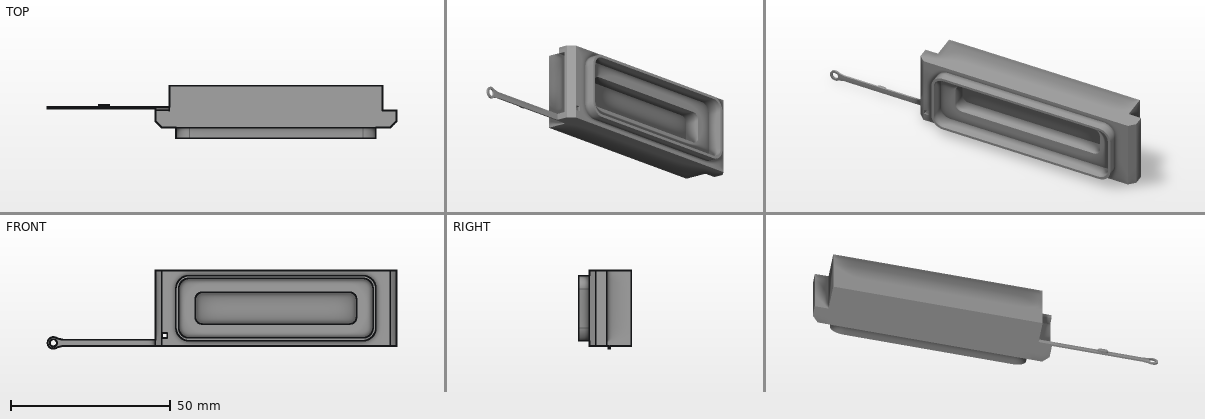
import cadquery as cq
import math

total_length = 109.5
total_depth = 16.5
total_height = 24.6

flange_length = 75.7
housing_height = 23.8
end_overhang = 4.4
flange_back = 7.8
flange_front = 13.1
flange_chamfer = 2.0
center_x = flange_length / 2
center_z = housing_height / 2

rim_length = 62.8
rim_height = 20.5
rim_radius = 4.2
rim_wall = 0.9
cavity_depth = 4.8
pocket_length = 50.6
pocket_height = 10.0
pocket_radius = 2.2
pocket_depth = 4.9

recess_margin = 2.0
recess_depth = 2.3
hole_size = 1.5
hole_center_x = 3.0
hole_center_z = 3.3

strap_back = 6.7
strap_thickness = 0.5
strap_height = recess_margin
eyelet_radius = 1.9
eyelet_hole_radius = 1.1
eyelet_x = flange_length - total_length + eyelet_radius
eyelet_z = housing_height - total_height + eyelet_radius
neck_length = 3.1
neck_half_angle = math.radians(50)
peg_x = -16.1
peg_length = 3.2
peg_height = 1.6
peg_reach = 0.7


def box(x_range, y_range, z_range):
    """Axis-aligned block between the given limits."""
    size = [high - low for low, high in (x_range, y_range, z_range)]
    corner = (x_range[0], y_range[0], z_range[0])
    return cq.Workplane("XY").box(*size, centered=False).translate(corner)


def centered_block(x, z, length, height, y_back, y_front):
    """Block centred on (x, z) that runs between two Y positions."""
    return box(
        (x - length / 2, x + length / 2),
        (y_back, y_front),
        (z - height / 2, z + height / 2),
    )


def rounded_block(length, height, radius, y_back, y_front):
    """Block on the housing centre with its four Y edges rounded."""
    block = centered_block(center_x, center_z, length, height, y_back, y_front)
    return block.edges("|Y").fillet(radius)


def make_housing():
    body = box((end_overhang, flange_length - end_overhang), (0, flange_front), (0, housing_height))
    flange = box((0, flange_length), (flange_back, flange_front), (0, housing_height))
    flange = flange.faces(">Y").edges("|Z").chamfer(flange_chamfer)
    rim = rounded_block(rim_length, rim_height, rim_radius, flange_front, total_depth)
    return body.union(flange).union(rim)


def make_cavity():
    cavity_floor = total_depth - cavity_depth
    cavity = rounded_block(
        rim_length - 2 * rim_wall,
        rim_height - 2 * rim_wall,
        rim_radius - rim_wall,
        cavity_floor,
        total_depth,
    )
    pocket = rounded_block(
        pocket_length, pocket_height, pocket_radius, cavity_floor - pocket_depth, cavity_floor
    )
    return cavity.union(pocket)


def make_latch_recess():
    recess = box(
        (0, end_overhang),
        (flange_back, flange_back + recess_depth),
        (recess_margin, housing_height - recess_margin),
    )
    hole = centered_block(
        hole_center_x, hole_center_z, hole_size, hole_size, flange_back, flange_front
    )
    return recess.union(hole)


def make_strap():
    strap_front = strap_back + strap_thickness
    lug = box((0, end_overhang), (strap_back, flange_back), (0, strap_height))
    band = box((eyelet_x, end_overhang), (strap_back, strap_front), (0, strap_height))

    plane = cq.Workplane("XZ", origin=(0, strap_front, 0))
    eyelet = plane.center(eyelet_x, eyelet_z).circle(eyelet_radius).extrude(strap_thickness)
    neck_x = eyelet_x + eyelet_radius * math.cos(neck_half_angle)
    neck_rise = eyelet_radius * math.sin(neck_half_angle)
    neck = plane.polyline([
        (neck_x, eyelet_z - neck_rise),
        (eyelet_x + neck_length, 0),
        (eyelet_x + neck_length, strap_height),
        (neck_x, eyelet_z + neck_rise),
    ]).close().extrude(strap_thickness)
    eye = plane.center(eyelet_x, eyelet_z).circle(eyelet_hole_radius).extrude(strap_thickness)
    return lug.union(band).union(eyelet).union(neck).cut(eye)


def make_peg():
    plane = cq.Workplane("XZ", origin=(0, strap_back, 0))
    return plane.center(peg_x, strap_height / 2).slot2D(peg_length, peg_height).extrude(peg_reach)


housing = make_housing().cut(make_cavity()).cut(make_latch_recess())
housing = housing.union(make_strap()).union(make_peg())

result = housing.mirror("XZ")